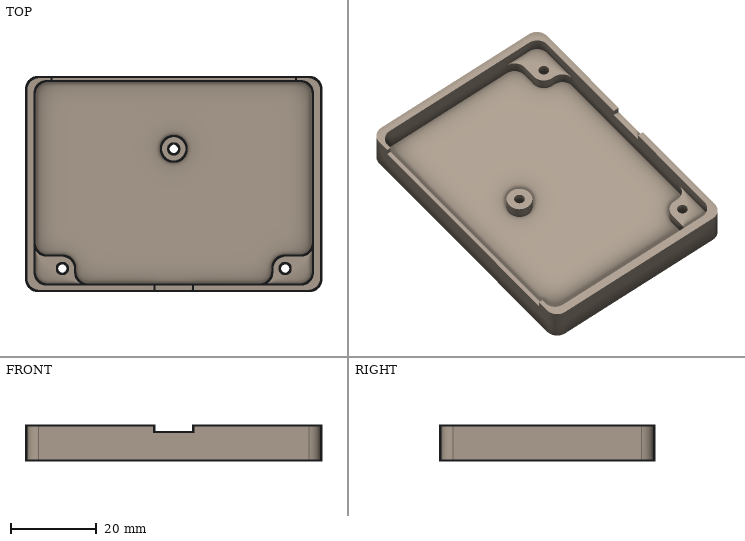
import cadquery as cq

length = 69.0
width = 50.0
height = 8.3
floor_thickness = 2.0
corner_radius = 3.0
side_wall = 2.0
front_wall = 1.5
back_wall = 1.0

notch_depth = 1.5
front_notch_length = 9.1
back_notch_length = 57.0

post_diameter = 6.0
hole_diameter = 2.5
post_height = 3.0
center_post_y = 8.2
corner_post_x = 26.0
corner_post_y = -19.7
blend_radius = 3.0

post_radius = post_diameter / 2
cavity_half_length = length / 2 - side_wall
cavity_front = -width / 2 + front_wall
cavity_back = width / 2 - back_wall


def make_tray():
    body = (
        cq.Workplane("XY")
        .box(length, width, height, centered=(True, True, False))
        .edges("|Z")
        .fillet(corner_radius)
    )
    cavity = (
        cq.Workplane("XY", origin=(0, (cavity_front + cavity_back) / 2, floor_thickness))
        .rect(2 * cavity_half_length, cavity_back - cavity_front)
        .extrude(height)
        .edges("|Z")
        .fillet(corner_radius)
    )
    return body.cut(cavity)


def rim_notch(notch_length, outer_y, wall):
    """Block that lowers the rim; wall is signed from the outer face inward."""
    return cq.Workplane("XY", origin=(0, outer_y + wall / 2, height)).box(
        notch_length, abs(wall), 2 * notch_depth
    )


def left_corner_pad():
    """Pad rounded about the screw hole and flared into the side and front walls."""
    left = -cavity_half_length
    back = corner_post_y + post_radius
    right = -corner_post_x + post_radius
    return (
        cq.Workplane("XY", origin=(0, 0, floor_thickness))
        .moveTo(left, back + blend_radius)
        .radiusArc((left + blend_radius, back), -blend_radius)
        .lineTo(-corner_post_x, back)
        .radiusArc((right, corner_post_y), post_radius)
        .lineTo(right, cavity_front + blend_radius)
        .radiusArc((right + blend_radius, cavity_front), -blend_radius)
        .lineTo(left, cavity_front)
        .close()
        .extrude(post_height)
    )


def center_post():
    return (
        cq.Workplane("XY", origin=(0, center_post_y, floor_thickness))
        .circle(post_radius)
        .extrude(post_height)
    )


def screw_holes():
    centers = [
        (0, center_post_y),
        (-corner_post_x, corner_post_y),
        (corner_post_x, corner_post_y),
    ]
    return cq.Workplane("XY").pushPoints(centers).circle(hole_diameter / 2).extrude(height)


pad = left_corner_pad()
result = (
    make_tray()
    .cut(rim_notch(front_notch_length, -width / 2, front_wall))
    .cut(rim_notch(back_notch_length, width / 2, -back_wall))
    .union(pad)
    .union(pad.mirror("YZ"))
    .union(center_post())
    .cut(screw_holes())
)